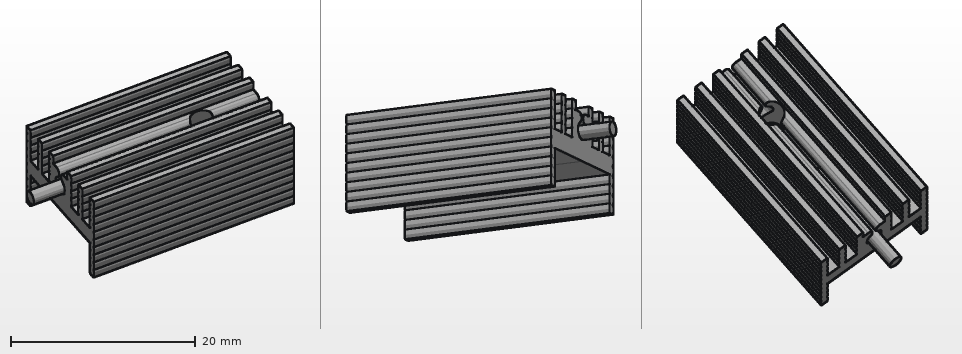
import cadquery as cq
import math

WIDTH = 14.8
HEIGHT = 10.8
LENGTH = 25.05

RIB_COUNT = 10
RIB_PITCH = HEIGHT / RIB_COUNT
RIB_RISE = 0.072
FIN_RIBS = 4
FIN_HALF = 0.418

OUTER_FIN_X = WIDTH / 2 - RIB_RISE - FIN_HALF
MIDDLE_FIN_X = 4.4
INNER_FIN_X = 1.95

BASE_BOTTOM = FIN_RIBS * RIB_PITCH
BASE_TOP = HEIGHT - FIN_RIBS * RIB_PITCH

PIN_RADIUS = 0.8
PIN_LENGTH = 13.82
PIN_PROTRUSION = 3.75
CHANNEL_RADIUS = 1.0
CHANNEL_BOTTOM = 6.7
CHANNEL_Z = CHANNEL_BOTTOM + CHANNEL_RADIUS
LIP_TOP = HEIGHT - RIB_PITCH
LIP_RADIUS = 0.6
LIP_Z = LIP_TOP - LIP_RADIUS
LIP_X = math.sqrt((CHANNEL_RADIUS + LIP_RADIUS) ** 2 - (LIP_Z - CHANNEL_Z) ** 2)

HOLE_DIAMETER = 2.8
HOLE_FROM_BACK = 7.2


def ribbed_face(outline, x, z_start, z_end, side):
    """Continue the outline along a vertical ribbed face that bulges toward side (+1 or -1)."""
    count = round(abs(z_end - z_start) / RIB_PITCH)
    step = (z_end - z_start) / count
    for i in range(count):
        z = z_start + i * step
        outline = outline.threePointArc((x + side * RIB_RISE, z + step / 2), (x, z + step))
    return outline


def add_outer_wall(outline):
    """Left side wall, from the underside of the base around to its top."""
    outside = -OUTER_FIN_X - FIN_HALF
    inside = -OUTER_FIN_X + FIN_HALF
    outline = outline.lineTo(inside, BASE_BOTTOM)
    outline = ribbed_face(outline, inside, BASE_BOTTOM, 0, 1)
    outline = outline.lineTo(outside, 0)
    outline = ribbed_face(outline, outside, 0, HEIGHT, -1)
    outline = outline.lineTo(inside, HEIGHT)
    return ribbed_face(outline, inside, HEIGHT, BASE_TOP, 1)


def add_fin(outline, x, right_bottom):
    """Fin centred at x that rises from the base and ends at right_bottom on its right face."""
    left = x - FIN_HALF
    right = x + FIN_HALF
    outline = outline.lineTo(left, BASE_TOP)
    outline = ribbed_face(outline, left, BASE_TOP, HEIGHT, -1)
    outline = outline.lineTo(right, HEIGHT)
    return ribbed_face(outline, right, HEIGHT, right_bottom, 1)


def add_clip(outline):
    """Rounded lip that flows into the left half of the round pin channel."""
    touch = CHANNEL_RADIUS / (CHANNEL_RADIUS + LIP_RADIUS)
    touch_point = (-LIP_X * touch, CHANNEL_Z + (LIP_Z - CHANNEL_Z) * touch)
    return (
        outline.lineTo(-LIP_X, LIP_TOP)
        .threePointArc((-LIP_X + LIP_RADIUS, LIP_Z), touch_point)
        .threePointArc((-CHANNEL_RADIUS, CHANNEL_Z), (0, CHANNEL_BOTTOM))
    )


def make_heat_sink():
    """Mirrored half outline extruded to the back face, with the mounting hole through it."""
    outline = cq.Workplane("XZ").moveTo(0, BASE_BOTTOM)
    outline = add_outer_wall(outline)
    outline = add_fin(outline, -MIDDLE_FIN_X, BASE_TOP)
    outline = add_fin(outline, -INNER_FIN_X, LIP_TOP)
    outline = add_clip(outline)
    body = outline.mirrorY().extrude(-LENGTH, clean=False)
    hole = (
        cq.Workplane("XY")
        .center(0, LENGTH - HOLE_FROM_BACK)
        .circle(HOLE_DIAMETER / 2)
        .extrude(HEIGHT)
    )
    return body.cut(hole, clean=False)


def make_pin():
    """Round pin resting on the channel bottom and sticking out of the front face."""
    return (
        cq.Workplane("XZ", origin=(0, -PIN_PROTRUSION, 0))
        .center(0, CHANNEL_BOTTOM + PIN_RADIUS)
        .circle(PIN_RADIUS)
        .extrude(-PIN_LENGTH)
    )


heat_sink = make_heat_sink()
pin = make_pin()
result = cq.Compound.makeCompound([heat_sink.solids().val(), pin.val()])